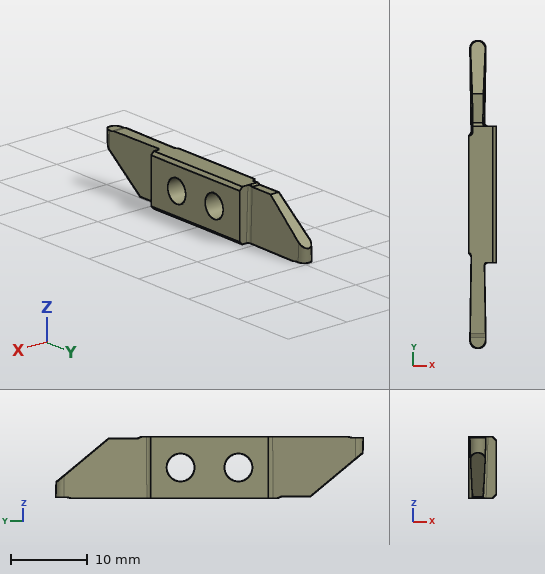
import cadquery as cq
import math

length = 40.0
thickness = 3.6
height = 8.0

blade_center_x = 1.2
tip_radius = 1.05
root_half_width = 0.9
side_relief = 0.25

back_shoulder_y = 7.65
back_root_radius = 0.6
front_shoulder_y = 8.9
front_root_radius = 0.4

tip_land_height = 1.9
edge_drop = 0.1
edge_ramp_start_y = 18.05
edge_ramp_end_y = 18.5
clearance_corner_y = 13.1
clearance_step = 0.2
clearance_ramp_end_y = 9.3

body_chamfer = 0.5
hole_diameter = 3.6
hole_spacing = 7.5

half_length = length / 2
half_height = height / 2

tip_recess = side_relief * edge_drop / height
tip_center_y = -half_length + tip_radius - tip_recess


def draw_half_plan(plane, inset):
    """Outline the -Y half in XY, with the blade sides moved inwards by the inset."""
    radius = tip_radius - inset
    root = root_half_width - inset
    center = blade_center_x

    back_x = center - root
    arc_center_x = back_x - back_root_radius
    arc_angle = math.acos(min(1.0, -arc_center_x / back_root_radius))
    arc_center_y = -back_shoulder_y - back_root_radius * math.sin(arc_angle)
    back_mid = (
        arc_center_x + back_root_radius * math.cos(arc_angle / 2),
        arc_center_y + back_root_radius * math.sin(arc_angle / 2),
    )

    front_x = center + root
    front_arc_start_y = -front_shoulder_y - front_root_radius
    front_arc_offset = front_root_radius * (1 - math.sqrt(0.5))
    front_mid = (front_x + front_arc_offset, -front_shoulder_y - front_arc_offset)

    return (
        plane.moveTo(0, 0)
        .lineTo(0, -back_shoulder_y)
        .threePointArc(back_mid, (back_x, arc_center_y))
        .lineTo(center - radius, tip_center_y)
        .threePointArc((center, tip_center_y - radius), (center + radius, tip_center_y))
        .lineTo(front_x, front_arc_start_y)
        .threePointArc(front_mid, (front_x + front_root_radius, -front_shoulder_y))
        .lineTo(thickness, -front_shoulder_y)
        .lineTo(thickness, 0)
        .close()
    )


def make_half():
    """Build the -Y half, with its cutting edge at the top."""
    lower_outline = draw_half_plan(cq.Workplane("XY").workplane(offset=-half_height), side_relief)
    plan = draw_half_plan(lower_outline.workplane(offset=height), 0).loft(ruled=True)
    edge_z = half_height - edge_drop
    side_points = [
        (0, half_height),
        (-edge_ramp_start_y, half_height),
        (-edge_ramp_end_y, edge_z),
        (-half_length, edge_z),
        (-half_length, edge_z - tip_land_height),
        (-clearance_corner_y, -half_height + clearance_step),
        (-clearance_ramp_end_y, -half_height + clearance_step),
        (-front_shoulder_y, -half_height),
        (0, -half_height),
    ]
    side = cq.Workplane("YZ").polyline(side_points).close().extrude(thickness)
    return plan.intersect(side)


half = make_half()
insert = half.union(half.rotate((0, 0, 0), (1, 0, 0), 180)).clean()
insert = insert.faces(">X").edges("|Y").chamfer(body_chamfer)

holes = (
    cq.Workplane("YZ")
    .pushPoints([(-hole_spacing / 2, 0), (hole_spacing / 2, 0)])
    .circle(hole_diameter / 2)
    .extrude(thickness)
)
insert = insert.cut(holes)

result = insert.translate((-thickness / 2, 0, 0))